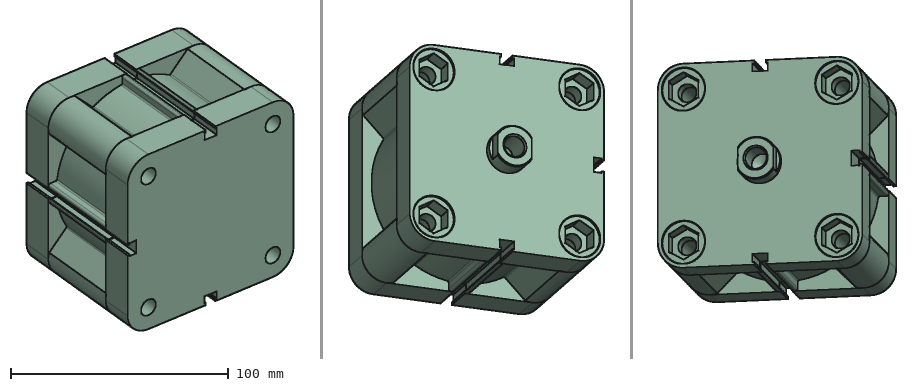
import cadquery as cq
import math

side = 96.0
half_side = side / 2
corner_radius = 12.0
bolt_offset = half_side - corner_radius
cap_length = 16.6
barrel_length = 43.4
barrel_start = cap_length
rear_start = cap_length + barrel_length

bolt_hole_diameter = 8.5
seat_radius = 10.2
seat_depth = 0.6
head_gap = 0.2
head_gap_depth = 1.0
hex_across_flats = 14.0
hex_depth = 8.4

core_radius = 43.4
post_half_width = 10.6
rail_half_width = 5.3
rail_top_radius = 1.2
foot_fillet = 0.8

slot_mouth = 5.6
cap_slot_width = 7.1
cap_slot_depth = 5.1
cap_lip = 1.2
barrel_slot_width = 6.3
barrel_slot_depth = 4.7
barrel_lip = 1.1
lip_edge_radius = 0.4
slot_angles = (0, 90, 180)

edge_tolerance = 0.01

rod_diameter = 20.0
rod_protrusion = 9.9
rod_chamfer = 0.5
flat_length = 6.7
flat_spacing = 16.7
thread_diameter = 10.0
thread_mouth_diameter = 11.5
thread_depth = 15.4
drill_tip_angle = 120.0


def section(start):
    """Workplane across the body axis at the given X; local x is Y and local y is Z."""
    return cq.Workplane("YZ", origin=(start, 0, 0))


def turned(solid, angle):
    """The solid turned about the body axis."""
    return solid.rotate((0, 0, 0), (1, 0, 0), angle)


def bolt_points(plane):
    """The plane with the four bolt positions on its stack."""
    return plane.rect(2 * bolt_offset, 2 * bolt_offset, forConstruction=True).vertices()


def cut_bolt_holes(body, start, length):
    """The body with the four bolt holes cut through it."""
    return body.cut(bolt_points(section(start)).circle(bolt_hole_diameter / 2).extrude(length))


def tee_slot(start, length, width, depth, lip):
    """Cutter for an undercut slot open at the +Z side."""
    wide_center = half_side - (depth + lip) / 2
    wide_part = section(start).center(0, wide_center).rect(width, depth - lip).extrude(length)
    mouth_part = section(start).center(0, half_side - depth / 2).rect(slot_mouth, depth).extrude(length)
    return wide_part.union(mouth_part)


def make_cap(start):
    """End cap: rounded square plate with bolt holes and sensor slots."""
    cap = section(start).rect(side, side).extrude(cap_length).edges("|X").fillet(corner_radius)
    slot = tee_slot(start, cap_length, cap_slot_width, cap_slot_depth, cap_lip)
    for angle in slot_angles:
        cap = cap.cut(turned(slot, angle))
    return cut_bolt_holes(cap, start, cap_length)


def bolt_seat():
    """Cutter for one bolt seat: shallow recess, gap around the head and hexagon socket."""
    recess = section(0).circle(seat_radius).extrude(seat_depth)
    gap = section(0).circle(seat_radius).circle(seat_radius - head_gap).extrude(head_gap_depth)
    hex_diameter = hex_across_flats / math.cos(math.pi / 6)
    socket = section(0).polygon(6, hex_diameter).extrude(seat_depth + hex_depth)
    return recess.union(gap).union(turned(socket, 90))


def make_front_cap():
    """Front cap with sunken bolt heads and a bore for the rod."""
    cap = make_cap(0)
    for y in (-bolt_offset, bolt_offset):
        for z in (-bolt_offset, bolt_offset):
            cap = cap.cut(bolt_seat().translate((0, y, z)))
    return cap.cut(section(0).circle(rod_diameter / 2).extrude(cap_length))


def corner_post():
    """Diagonal post with a round outer end, pointing along +Y before turning."""
    end_center = bolt_offset * math.sqrt(2)
    arc_start = end_center + math.sqrt(corner_radius**2 - post_half_width**2)
    return (
        section(barrel_start)
        .moveTo(0, -post_half_width)
        .lineTo(arc_start, -post_half_width)
        .threePointArc((end_center + corner_radius, 0), (arc_start, post_half_width))
        .lineTo(0, post_half_width)
        .close()
        .extrude(barrel_length)
    )


def rail():
    """Rail on the +Z side with rounded outer edges."""
    block = section(barrel_start).center(0, half_side / 2).rect(2 * rail_half_width, half_side)
    return block.extrude(barrel_length).edges("|X and >Z").fillet(rail_top_radius)


def lies_on_core(edge):
    """True for edges where posts and rails meet the round core."""
    center = edge.Center()
    return abs(math.hypot(center.y, center.z) - core_radius) < edge_tolerance


def lies_on_mouth(edge):
    """True for the outer edges of a slot mouth."""
    center = edge.Center()
    on_top = max(abs(center.y), abs(center.z)) > half_side - edge_tolerance
    return on_top and abs(min(abs(center.y), abs(center.z)) - slot_mouth / 2) < edge_tolerance


def make_barrel():
    """Solid barrel: round core with four corner posts and three slotted rails."""
    barrel = section(barrel_start).circle(core_radius).extrude(barrel_length)
    for quarter in range(4):
        barrel = barrel.union(turned(corner_post(), 45 + 90 * quarter))
    for angle in slot_angles:
        barrel = barrel.union(turned(rail(), angle))
    barrel = barrel.edges("|X").filter(lies_on_core).fillet(foot_fillet)
    slot = tee_slot(barrel_start, barrel_length, barrel_slot_width, barrel_slot_depth, barrel_lip)
    for angle in slot_angles:
        barrel = barrel.cut(turned(slot, angle))
    barrel = barrel.edges("|X").filter(lies_on_mouth).fillet(lip_edge_radius)
    return cut_bolt_holes(barrel, barrel_start, barrel_length)


def make_rod():
    """Rod through the front cap, with wrench flats and a drilled, chamfered end hole."""
    tip = -rod_protrusion
    rod = section(tip).circle(rod_diameter / 2).extrude(rod_protrusion + cap_length)
    rod = rod.faces("<X").chamfer(rod_chamfer)
    flats = section(tip).rect(2 * rod_diameter, 2 * rod_diameter).rect(flat_spacing, 2 * rod_diameter)
    rod = rod.cut(flats.extrude(flat_length))

    radius = thread_diameter / 2
    mouth_radius = thread_mouth_diameter / 2
    tip_length = radius / math.tan(math.radians(drill_tip_angle / 2))
    hole_profile = cq.Workplane("XY").polyline([
        (tip, 0),
        (tip, mouth_radius),
        (tip + mouth_radius - radius, radius),
        (tip + thread_depth, radius),
        (tip + thread_depth + tip_length, 0),
    ]).close()
    return rod.cut(hole_profile.revolve(360, (0, 0, 0), (1, 0, 0)))


front_cap = make_front_cap()
barrel = make_barrel()
rear_cap = make_cap(rear_start)
rod = make_rod()

result = cq.Compound.makeCompound([front_cap.val(), barrel.val(), rear_cap.val(), rod.val()])